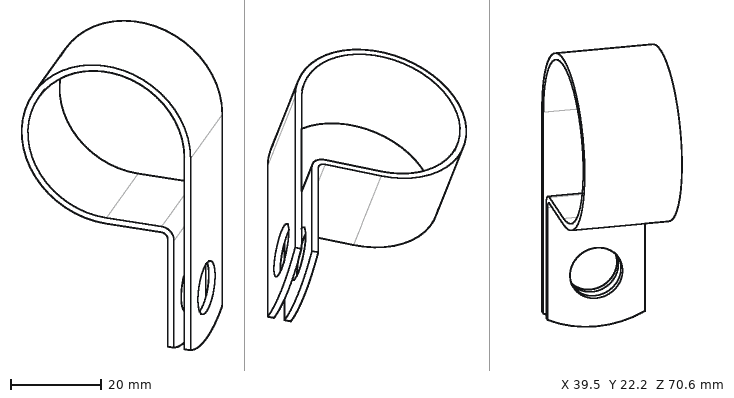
import cadquery as cq
import math

height = 70.6
width = 22.2
ring_diameter = 39.5
thickness = 1.5

leg_gap = 2.4
bend_inner_radius = 1.5
hole_diameter = 12.0
hole_height = 12.8
tip_radius = 25.0

outer_radius = ring_diameter / 2
inner_radius = outer_radius - thickness
bend_outer_radius = bend_inner_radius + thickness
bottom_z = outer_radius - height
inner_leg_right = inner_radius - leg_gap
inner_leg_left = inner_leg_right - thickness
bend_x = inner_leg_right - bend_outer_radius
bend_z = -inner_radius - bend_outer_radius
tip_sag = tip_radius - math.sqrt(tip_radius**2 - (width / 2) ** 2)
cos_45 = math.sqrt(0.5)


def make_strip():
    """Strip bent into a ring with two parallel legs, extruded along Y."""
    profile = (
        cq.Workplane("XZ")
        .moveTo(outer_radius, bottom_z)
        .lineTo(outer_radius, 0)
        .threePointArc((-outer_radius * cos_45, outer_radius * cos_45), (0, -outer_radius))
        .lineTo(bend_x, -outer_radius)
        .threePointArc(
            (bend_x + bend_inner_radius * cos_45, bend_z + bend_inner_radius * cos_45),
            (inner_leg_left, bend_z),
        )
        .lineTo(inner_leg_left, bottom_z)
        .lineTo(inner_leg_right, bottom_z)
        .lineTo(inner_leg_right, bend_z)
        .threePointArc(
            (bend_x + bend_outer_radius * cos_45, bend_z + bend_outer_radius * cos_45),
            (bend_x, -inner_radius),
        )
        .lineTo(0, -inner_radius)
        .threePointArc((-inner_radius * cos_45, inner_radius * cos_45), (inner_radius, 0))
        .lineTo(inner_radius, bottom_z)
        .close()
    )
    return profile.extrude(width / 2, both=True)


def make_side_envelope():
    """Outline of the strip across its width, with an arc at the leg ends."""
    shoulder_z = bottom_z + tip_sag
    return (
        cq.Workplane("YZ")
        .moveTo(-width / 2, outer_radius)
        .lineTo(-width / 2, shoulder_z)
        .threePointArc((0, bottom_z), (width / 2, shoulder_z))
        .lineTo(width / 2, outer_radius)
        .close()
        .extrude(outer_radius, both=True)
    )


def make_bolt_hole():
    """Cylinder along X that passes through both legs."""
    return (
        cq.Workplane("YZ")
        .center(0, bottom_z + hole_height)
        .circle(hole_diameter / 2)
        .extrude(outer_radius, both=True)
    )


result = make_strip().intersect(make_side_envelope()).cut(make_bolt_hole())